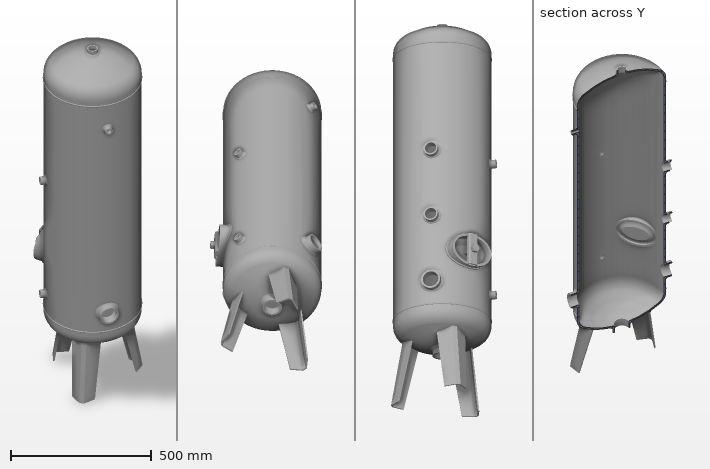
import cadquery as cq
import math

SHELL_RADIUS = 350.0 / 2
WALL = 7.9
KNUCKLE_RATIO = 0.154
CROWN_RATIO = 0.8
LOWER_SEAM_Z = 309.0
UPPER_SEAM_Z = 1309.0
HEAD_SKIRT = 20.0
LOWER_TANGENT_Z = LOWER_SEAM_Z - HEAD_SKIRT
UPPER_TANGENT_Z = UPPER_SEAM_Z + HEAD_SKIRT
PLAIN_HEADING = 60
SEAM_RADIUS = 354.0 / 2
SEAM_WIDTH = 6.0

TANK_HEIGHT = 1438.0
NOZZLE_WELD = 5.0
SIDE_NOZZLE_TIP = 200.0
SMALL_NOZZLE_TIP = 195.0
BOTTOM_NOZZLE_Z = 177.0
LARGE_PIPE = (69.0, 56.0)
MEDIUM_PIPE = (50.0, 40.0)
TOP_PIPE = (39.0, 30.0)
SENSOR_PIPE = (30.0, 19.0)
GAUGE_PIPE = (27.0, 16.0)
LOW_ROW_Z = 394.0
ROW_PITCH = 250.0
MIDDLE_ROW_Z = LOW_ROW_Z + ROW_PITCH
HIGH_ROW_Z = MIDDLE_ROW_Z + ROW_PITCH
GAUGE_NOZZLE_Z = 1207.0

HATCH_ANGLE = 225
HATCH_Z = 518.0
COLLAR_FACE = 194.0
COLLAR_BACK = 150.0
OPENING_START = COLLAR_BACK / 2
COLLAR_HALF_WIDTH = 82.0
COLLAR_HALF_HEIGHT = 60.0
COLLAR_WALL = 9.0
COLLAR_WELD = 5.0
OPENING_HALF_WIDTH = COLLAR_HALF_WIDTH - COLLAR_WALL
OPENING_HALF_HEIGHT = COLLAR_HALF_HEIGHT - COLLAR_WALL

COVER_RIM = 164.0
COVER_THICKNESS = 7.0
PAN_DEPTH = 9.0
PAN_RIM = 7.0
PAN_SLOPE = 16.0

STUD_DIAMETER = 16.0
STUD_END = 1.0
NUT_ACROSS_CORNERS = 30.0
NUT_HEIGHT = 15.0

BRIDGE_FACE = 205.0
BRIDGE_WIDTH = 37.0
BRIDGE_LENGTH = 117.0
BRIDGE_THICKNESS = 6.0
BRIDGE_BEND_RADIUS = 6.5
BRIDGE_FLANGE_DEPTH = 15.0
BRIDGE_TONGUE_LENGTH = 92.0

LEG_ANGLES = (90, 210, 330)
LEG_FOOT_RADIUS = 184.0
LEG_FLANGE_ANGLE = 45
LEG_TILT = 10
LEG_TOP_Z = 273.0
LEG_FOOT_HALF_WIDTH = 42.0
LEG_WIDENING = 0.05
LEG_THICKNESS = 5.0
LEG_FOLD_HALF_WIDTH = 9.0


def heading_plane(angle, height):
    """Plane on the tank axis whose normal points outward along a heading."""
    a = math.radians(angle)
    return cq.Plane(
        origin=(0, 0, height),
        xDir=(-math.sin(a), math.cos(a), 0),
        normal=(math.cos(a), math.sin(a), 0),
    )


def tank_solid(inset):
    """Solid bounded by the tank surface moved inward by an inset."""
    radius = SHELL_RADIUS - inset
    knuckle = 2 * SHELL_RADIUS * KNUCKLE_RATIO - inset
    crown = 2 * SHELL_RADIUS * CROWN_RATIO - inset
    knuckle_center = radius - knuckle
    blend = math.asin(knuckle_center / (crown - knuckle))
    crown_drop = (crown - knuckle) * math.cos(blend)

    def head_point(sphere_radius, angle, center_r, center_h):
        return (center_r + sphere_radius * math.sin(angle), center_h + sphere_radius * math.cos(angle))

    apex = (0, crown - crown_drop)
    crown_mid = head_point(crown, blend / 2, 0, -crown_drop)
    junction = head_point(crown, blend, 0, -crown_drop)
    knuckle_mid = head_point(knuckle, (blend + math.pi / 2) / 2, knuckle_center, 0)

    def upper(point):
        return (point[0], UPPER_TANGENT_Z + point[1])

    def lower(point):
        return (point[0], LOWER_TANGENT_Z - point[1])

    return (
        cq.Workplane("XZ")
        .moveTo(*lower(apex))
        .threePointArc(lower(crown_mid), lower(junction))
        .threePointArc(lower(knuckle_mid), (radius, LOWER_TANGENT_Z))
        .lineTo(radius, UPPER_TANGENT_Z)
        .threePointArc(upper(knuckle_mid), upper(junction))
        .threePointArc(upper(crown_mid), upper(apex))
        .close()
        .revolve(360, (0, 0), (0, 1))
        .rotate((0, 0, 0), (0, 0, 1), PLAIN_HEADING)
    )


def head_rise():
    """Height of a head's apex above its tangent line."""
    crown = 2 * SHELL_RADIUS * CROWN_RATIO
    knuckle = 2 * SHELL_RADIUS * KNUCKLE_RATIO
    return crown - math.sqrt((crown - knuckle) ** 2 - (SHELL_RADIUS - knuckle) ** 2)


def seam_bead(height):
    root = SHELL_RADIUS - WALL / 2
    half = SEAM_WIDTH / 2
    return (
        cq.Workplane("XZ")
        .moveTo(root, height - half)
        .lineTo(SHELL_RADIUS, height - half)
        .threePointArc((SEAM_RADIUS, height), (SHELL_RADIUS, height + half))
        .lineTo(root, height + half)
        .close()
        .revolve(360, (0, 0), (0, 1))
    )


def nozzle(plane, surface, tip, outer_diameter):
    """Filled pipe stub with a conical weld, along the normal of a plane."""
    outer = outer_diameter / 2
    root = surface - NOZZLE_WELD
    stub = (
        cq.Workplane("XZ")
        .moveTo(0, root)
        .lineTo(outer + 2 * NOZZLE_WELD, root)
        .lineTo(outer, surface + NOZZLE_WELD)
        .lineTo(outer, tip)
        .lineTo(0, tip)
        .close()
        .revolve(360, (0, 0), (0, 1))
    )
    return cq.Workplane(stub.val().moved(plane.location))


def nozzle_bore(plane, tip, diameter):
    return cq.Workplane(plane).circle(diameter / 2).extrude(tip)


def leg_section(height):
    """Closed outline of a leg's angle section at a height; local x points away from the tank axis."""
    fold = LEG_FOOT_RADIUS - height * math.tan(math.radians(LEG_TILT))
    half = LEG_FOOT_HALF_WIDTH + LEG_WIDENING * height
    flat = LEG_FOLD_HALF_WIDTH
    flange_angle = math.radians(LEG_FLANGE_ANGLE)
    edge = fold - (half - flat) / math.tan(flange_angle)
    step_back = LEG_THICKNESS * math.sin(flange_angle)
    step_in = LEG_THICKNESS * math.cos(flange_angle)
    inner_flat = flat - LEG_THICKNESS * math.tan((math.pi / 2 - flange_angle) / 2)
    inner_fold = fold - LEG_THICKNESS
    right = [(edge, half), (edge - step_back, half - step_in), (inner_fold, inner_flat)]
    left = [(x, -y) for x, y in reversed(right)]
    return [(fold, -flat), (fold, flat), *right, *left]


def leg(angle):
    return (
        cq.Workplane("XY")
        .polyline(leg_section(0))
        .close()
        .workplane(offset=LEG_TOP_Z)
        .polyline(leg_section(LEG_TOP_Z))
        .close()
        .loft(ruled=True)
        .rotate((0, 0, 0), (0, 0, 1), angle)
    )


HATCH_PLANE = heading_plane(HATCH_ANGLE, HATCH_Z)


def hatch_oval(half_width, half_height, start, end):
    """Oval cylinder between two distances along the hatch heading."""
    return (
        cq.Workplane(HATCH_PLANE)
        .workplane(offset=start)
        .ellipse(half_width, half_height)
        .extrude(end - start)
    )


def hatch_block(width, height, start, end):
    return cq.Workplane(HATCH_PLANE).workplane(offset=start).rect(width, height).extrude(end - start)


def nozzle_table():
    """Plane, distances to the surface and to the tip, outer diameter and bore of every nozzle."""
    upward = cq.Plane(origin=(0, 0, UPPER_TANGENT_Z), xDir=(1, 0, 0), normal=(0, 0, 1))
    downward = cq.Plane(origin=(0, 0, LOWER_TANGENT_Z), xDir=(1, 0, 0), normal=(0, 0, -1))
    bottom_tip = LOWER_TANGENT_Z - BOTTOM_NOZZLE_Z
    top_tip = TANK_HEIGHT - UPPER_TANGENT_Z
    side = SHELL_RADIUS
    return [
        (upward, head_rise(), top_tip, *TOP_PIPE),
        (downward, head_rise(), bottom_tip, *LARGE_PIPE),
        (heading_plane(180, LOW_ROW_Z), side, SIDE_NOZZLE_TIP, *LARGE_PIPE),
        (heading_plane(0, LOW_ROW_Z), side, SIDE_NOZZLE_TIP, *LARGE_PIPE),
        (heading_plane(180, MIDDLE_ROW_Z), side, SIDE_NOZZLE_TIP, *MEDIUM_PIPE),
        (heading_plane(180, HIGH_ROW_Z), side, SIDE_NOZZLE_TIP, *MEDIUM_PIPE),
        (heading_plane(270, LOW_ROW_Z), side, SMALL_NOZZLE_TIP, *SENSOR_PIPE),
        (heading_plane(270, HIGH_ROW_Z), side, SMALL_NOZZLE_TIP, *SENSOR_PIPE),
        (heading_plane(0, GAUGE_NOZZLE_Z), side, SMALL_NOZZLE_TIP, *GAUGE_PIPE),
    ]


def make_tank():
    tank = tank_solid(0)
    for height in (LOWER_SEAM_Z, UPPER_SEAM_Z):
        tank = tank.union(seam_bead(height))
    for plane, surface, tip, outer_diameter, _ in nozzle_table():
        tank = tank.union(nozzle(plane, surface, tip, outer_diameter))
    for angle in LEG_ANGLES:
        tank = tank.union(leg(angle))

    collar = hatch_oval(COLLAR_HALF_WIDTH, COLLAR_HALF_HEIGHT, COLLAR_BACK, COLLAR_FACE)
    weld = hatch_oval(
        COLLAR_HALF_WIDTH + COLLAR_WELD, COLLAR_HALF_HEIGHT + COLLAR_WELD, OPENING_START, COLLAR_FACE
    ).intersect(tank_solid(-COLLAR_WELD))
    tank = tank.union(collar).union(weld)

    tank = tank.cut(tank_solid(WALL).cut(collar))
    tank = tank.cut(hatch_oval(OPENING_HALF_WIDTH, OPENING_HALF_HEIGHT, OPENING_START, COLLAR_FACE))
    for plane, _, tip, _, bore in nozzle_table():
        tank = tank.cut(nozzle_bore(plane, tip, bore))
    return tank


def pan(rim_distance):
    """Tapered oval block sinking from a rim level toward the tank axis."""
    return (
        cq.Workplane(HATCH_PLANE)
        .workplane(offset=rim_distance)
        .ellipse(OPENING_HALF_WIDTH - PAN_RIM, OPENING_HALF_HEIGHT - PAN_RIM)
        .workplane(offset=-PAN_DEPTH)
        .ellipse(OPENING_HALF_WIDTH - PAN_RIM - PAN_SLOPE, OPENING_HALF_HEIGHT - PAN_RIM - PAN_SLOPE)
        .loft()
    )


def make_cover():
    back = COVER_RIM - COVER_THICKNESS
    plate = hatch_oval(OPENING_HALF_WIDTH, OPENING_HALF_HEIGHT, back, COVER_RIM)
    cover = plate.union(pan(back)).cut(pan(COVER_RIM))
    floor = COVER_RIM - PAN_DEPTH - COVER_THICKNESS / 2
    stud_tip = BRIDGE_FACE + NUT_HEIGHT + STUD_END
    stud = (
        cq.Workplane(HATCH_PLANE)
        .workplane(offset=floor)
        .circle(STUD_DIAMETER / 2)
        .extrude(stud_tip - floor)
    )
    nut = (
        cq.Workplane(HATCH_PLANE)
        .workplane(offset=BRIDGE_FACE)
        .polygon(6, NUT_ACROSS_CORNERS)
        .extrude(NUT_HEIGHT)
    )
    return cover.union(stud).union(nut)


def make_bridge():
    back = BRIDGE_FACE - BRIDGE_FLANGE_DEPTH
    inner_width = BRIDGE_WIDTH - 2 * BRIDGE_THICKNESS
    inner_face = BRIDGE_FACE - BRIDGE_THICKNESS
    channel = hatch_block(BRIDGE_WIDTH, BRIDGE_LENGTH, back, BRIDGE_FACE)
    channel = channel.faces(cq.selectors.DirectionMinMaxSelector(HATCH_PLANE.zDir)).edges("|Z")
    channel = channel.fillet(BRIDGE_BEND_RADIUS)
    channel = channel.cut(hatch_block(inner_width, BRIDGE_LENGTH, back, inner_face))
    inside = hatch_block(BRIDGE_WIDTH, BRIDGE_LENGTH, back, COLLAR_FACE)
    notches = inside.cut(hatch_block(BRIDGE_WIDTH, BRIDGE_TONGUE_LENGTH, back, COLLAR_FACE))
    stud_hole = (
        cq.Workplane(HATCH_PLANE)
        .workplane(offset=back)
        .circle(STUD_DIAMETER / 2)
        .extrude(BRIDGE_FLANGE_DEPTH)
    )
    return channel.cut(notches).cut(stud_hole)


tank = make_tank()
cover = make_cover()
bridge = make_bridge()
result = cq.Compound.makeCompound([tank.val(), cover.val(), bridge.val()])